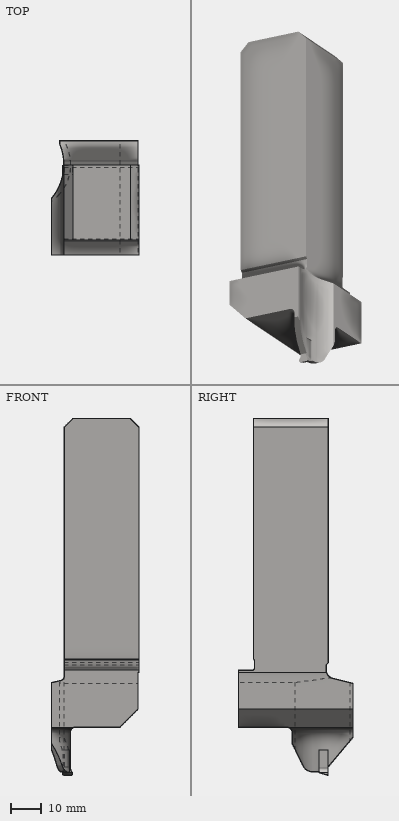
import cadquery as cq
import math


TOOL_LENGTH = 119.0
SHANK_SIZE = 25.0
SHANK_LEFT = 4.3
SHANK_RIGHT = SHANK_LEFT + SHANK_SIZE
SHANK_CHAMFER = 3.0

FRONT_RELIEF_DEPTH = 0.4
FRONT_RELIEF_TOP = 38.8
FRONT_RELIEF_RADIUS = 0.7
BACK_RELIEF_DEPTH = 0.7
BACK_RELIEF_TOP = 37.6
BACK_RELIEF_RADIUS = 2.9

HEAD_FRONT = -5.0
HEAD_BACK = 33.2
HEAD_BOTTOM = 16.1
HEAD_FRONT_TOP = 35.1
HEAD_SIDE_TOP = 30.9
HEAD_SIDE_ANGLE = 13.0
HEAD_SIDE_RADIUS = 1.4
HEAD_BACK_TOP = 30.7
HEAD_BACK_ANGLE = 14.0
HEAD_RIGHT_STEP = 0.4
HEAD_RIGHT_TOP = 34.4
HEAD_RIGHT = SHANK_RIGHT - HEAD_RIGHT_STEP
HEAD_CHAMFER = 6.1

BLADE_CREST_Y = 25.2
INNER_CREST_X = 4.2
INNER_RADIUS = 17.5
OUTER_CREST_X = 6.4
OUTER_RADIUS = 15.1
INNER_FLAT_X = 2.7
BLADE_ROOT_RADIUS = 1.5
BLADE_BOTTOM = 1.2
BLADE_TOE_FRONT = 17.5
BLADE_TOE_RADIUS = 3.6
BLADE_FRONT_CORNER = 10.7
BLADE_BACK_CORNER = 12.7
BLADE_BACK_ANGLE = 50.0

INSERT_FRONT = 21.9
INSERT_BACK = 24.9
INSERT_TOP = 8.5
INSERT_LEFT = 4.4
INSERT_RIGHT = OUTER_CREST_X
TIP_OVERHANG = 0.6
TIP_HEIGHT = 1.1
TIP_FLARE_HEIGHT = 1.4
TIP_CORNER = 0.4
TIP_RELIEF_HEIGHT = 1.0

PICK_REACH = 0.06

inner_axis_x = INNER_CREST_X - INNER_RADIUS
outer_axis_x = OUTER_CREST_X - OUTER_RADIUS
inner_front_y = BLADE_CREST_Y - math.sqrt(INNER_RADIUS**2 - inner_axis_x**2)
outer_front_y = BLADE_CREST_Y - math.sqrt(OUTER_RADIUS**2 - outer_axis_x**2)
inner_flat_y = BLADE_CREST_Y + math.sqrt(INNER_RADIUS**2 - (INNER_FLAT_X - inner_axis_x) ** 2)
outer_back_x = outer_axis_x + math.sqrt(OUTER_RADIUS**2 - (HEAD_BACK - BLADE_CREST_Y) ** 2)


def tan(degrees):
    return math.tan(math.radians(degrees))


def edge_at(y, z):
    """Box selector for an edge along X that passes through (y, z)."""
    return cq.selectors.BoxSelector(
        (-TOOL_LENGTH, y - PICK_REACH, z - PICK_REACH),
        (TOOL_LENGTH, y + PICK_REACH, z + PICK_REACH),
    )


def front_outline_body():
    """Shank and head outline in XZ, extruded over the whole depth of the head."""
    corner_z = HEAD_SIDE_TOP + SHANK_LEFT * tan(HEAD_SIDE_ANGLE)
    outline = [
        (0, HEAD_BOTTOM),
        (HEAD_RIGHT - HEAD_CHAMFER, HEAD_BOTTOM),
        (HEAD_RIGHT, HEAD_BOTTOM + HEAD_CHAMFER),
        (HEAD_RIGHT, HEAD_RIGHT_TOP),
        (SHANK_RIGHT, HEAD_RIGHT_TOP),
        (SHANK_RIGHT, TOOL_LENGTH - SHANK_CHAMFER),
        (SHANK_RIGHT - SHANK_CHAMFER, TOOL_LENGTH),
        (SHANK_LEFT + SHANK_CHAMFER, TOOL_LENGTH),
        (SHANK_LEFT, TOOL_LENGTH - SHANK_CHAMFER),
        (SHANK_LEFT, corner_z),
        (0, HEAD_SIDE_TOP),
    ]
    body = cq.Workplane("XZ", origin=(0, HEAD_FRONT, 0)).polyline(outline).close()
    body = body.extrude(HEAD_FRONT - HEAD_BACK)
    corner = cq.selectors.BoxSelector(
        (SHANK_LEFT - PICK_REACH, -TOOL_LENGTH, corner_z - PICK_REACH),
        (SHANK_LEFT + PICK_REACH, TOOL_LENGTH, corner_z + PICK_REACH),
    )
    return body.edges("|Y").edges(corner).fillet(HEAD_SIDE_RADIUS)


def side_outline_body():
    """Shank and head outline in YZ, extruded over the whole width of the tool."""
    back_wall_y = SHANK_SIZE - BACK_RELIEF_DEPTH
    back_corner_z = HEAD_BACK_TOP + (HEAD_BACK - back_wall_y) * tan(HEAD_BACK_ANGLE)
    outline = [
        (HEAD_FRONT, HEAD_BOTTOM),
        (HEAD_BACK, HEAD_BOTTOM),
        (HEAD_BACK, HEAD_BACK_TOP),
        (back_wall_y, back_corner_z),
        (back_wall_y, BACK_RELIEF_TOP - BACK_RELIEF_DEPTH),
        (SHANK_SIZE, BACK_RELIEF_TOP),
        (SHANK_SIZE, TOOL_LENGTH),
        (0, TOOL_LENGTH),
        (0, FRONT_RELIEF_TOP),
        (FRONT_RELIEF_DEPTH, FRONT_RELIEF_TOP - FRONT_RELIEF_DEPTH),
        (FRONT_RELIEF_DEPTH, HEAD_FRONT_TOP),
        (HEAD_FRONT, HEAD_FRONT_TOP),
    ]
    body = cq.Workplane("YZ").polyline(outline).close().extrude(SHANK_RIGHT)
    body = body.edges("|X").edges(edge_at(back_wall_y, back_corner_z)).fillet(BACK_RELIEF_RADIUS)
    front_corner = edge_at(FRONT_RELIEF_DEPTH, HEAD_FRONT_TOP)
    return body.edges("|X").edges(front_corner).fillet(FRONT_RELIEF_RADIUS)


def blade_side_trim():
    """Pointed blade outline in YZ, wide enough to trim the whole blade."""
    back_toe_y = HEAD_BACK - (BLADE_BACK_CORNER - BLADE_BOTTOM) / tan(BLADE_BACK_ANGLE)
    trim = (
        cq.Workplane("YZ")
        .moveTo(HEAD_FRONT, HEAD_BOTTOM)
        .lineTo(outer_front_y, BLADE_FRONT_CORNER)
        .lineTo(BLADE_TOE_FRONT, BLADE_BOTTOM)
        .lineTo(back_toe_y, BLADE_BOTTOM)
        .lineTo(HEAD_BACK, BLADE_BACK_CORNER)
        .lineTo(HEAD_BACK, HEAD_BOTTOM)
        .close()
        .extrude(SHANK_RIGHT)
    )
    return trim.edges("|X").edges(edge_at(BLADE_TOE_FRONT, BLADE_BOTTOM)).fillet(BLADE_TOE_RADIUS)


def blade():
    """Blade bounded by the outer cylinder, with a rounded root under the head."""
    wall = (
        cq.Workplane("XY")
        .moveTo(0, outer_front_y)
        .threePointArc((OUTER_CREST_X, BLADE_CREST_Y), (outer_back_x, HEAD_BACK))
        .lineTo(0, HEAD_BACK)
        .close()
        .extrude(HEAD_BOTTOM)
    )
    wall = wall.intersect(blade_side_trim())
    root_bottom = HEAD_BOTTOM - BLADE_ROOT_RADIUS
    root_edge = OUTER_RADIUS + BLADE_ROOT_RADIUS
    sag = BLADE_ROOT_RADIUS * (1 - math.sqrt(0.5))
    root = (
        cq.Workplane("XZ")
        .moveTo(0, root_bottom)
        .lineTo(OUTER_RADIUS, root_bottom)
        .threePointArc((OUTER_RADIUS + sag, HEAD_BOTTOM - sag), (root_edge, HEAD_BOTTOM))
        .lineTo(0, HEAD_BOTTOM)
        .close()
        .revolve(360, (0, 0, 0), (0, 1, 0))
        .translate((outer_axis_x, BLADE_CREST_Y, 0))
    )
    under_head = cq.Workplane("XY").box(SHANK_RIGHT, HEAD_BACK, HEAD_BOTTOM, centered=False)
    return wall.union(root.intersect(under_head))


def inner_hollow():
    """Space inside the inner cylinder, ending in a flat at the back of the head."""
    return (
        cq.Workplane("XY")
        .moveTo(0, inner_front_y)
        .threePointArc((INNER_CREST_X, BLADE_CREST_Y), (INNER_FLAT_X, inner_flat_y))
        .lineTo(INNER_FLAT_X, HEAD_BACK)
        .lineTo(0, HEAD_BACK)
        .close()
        .extrude(TOOL_LENGTH)
    )


def insert_seat():
    """Slot across the blade, open at the bottom."""
    depth = INSERT_BACK - INSERT_FRONT
    slot = cq.Workplane("XY", origin=(0, INSERT_FRONT, 0))
    return slot.box(SHANK_SIZE, depth, INSERT_TOP, centered=False)


def make_holder():
    body = front_outline_body().intersect(side_outline_body())
    return body.union(blade()).cut(inner_hollow()).cut(insert_seat())


def make_insert():
    """Flat stem with a wider tip whose end slopes up from the cutting edge."""
    half_stem = (INSERT_RIGHT - INSERT_LEFT) / 2
    half_tip = half_stem + TIP_OVERHANG
    middle_x = (INSERT_LEFT + INSERT_RIGHT) / 2
    depth = INSERT_BACK - INSERT_FRONT
    body = (
        cq.Workplane("XZ", origin=(middle_x, INSERT_FRONT, 0))
        .moveTo(0, INSERT_TOP)
        .lineTo(half_stem, INSERT_TOP)
        .lineTo(half_stem, TIP_HEIGHT + TIP_FLARE_HEIGHT)
        .tangentArcPoint((half_tip, TIP_HEIGHT), relative=False)
        .lineTo(half_tip, TIP_CORNER)
        .lineTo(half_tip - TIP_CORNER, 0)
        .lineTo(0, 0)
        .mirrorY()
        .extrude(-depth)
    )
    relief = (
        cq.Workplane("YZ")
        .polyline([(INSERT_BACK, 0), (INSERT_FRONT, 0), (INSERT_FRONT, TIP_RELIEF_HEIGHT)])
        .close()
        .extrude(SHANK_RIGHT)
    )
    return body.cut(relief)


holder = make_holder()
insert = make_insert()

result = cq.Compound.makeCompound([holder.val(), insert.val()])